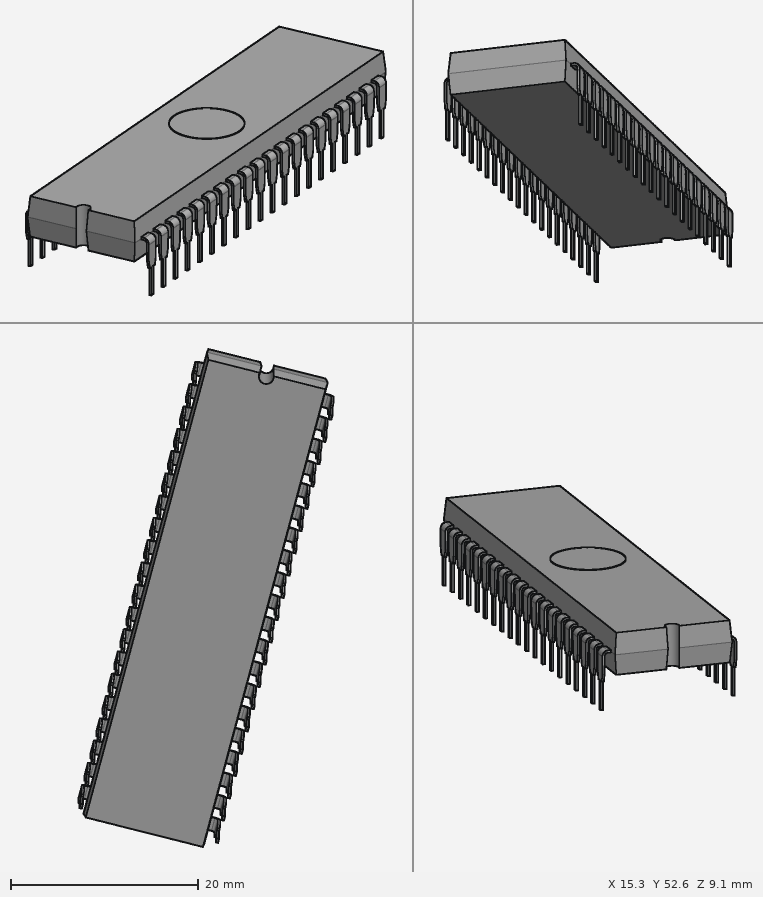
import cadquery as cq
import math

OVERALL_HEIGHT = 9.1

BODY_LENGTH = 52.6
BODY_WIDTH = 13.35
HALF_HEIGHT = 2.35
TAPER_INSET = 0.2

WINDOW_DIAMETER = 8.1
WINDOW_RISE = 0.08

NOTCH_RADIUS = 0.8
NOTCH_DEPTH = 1.25

LEADS_PER_SIDE = 20
LEAD_ROW_LENGTH = 48.25
LEAD_PITCH = LEAD_ROW_LENGTH / (LEADS_PER_SIDE - 1)
LEAD_ROW_OFFSET = -0.15
LEAD_SPAN = 15.3
LEAD_THICKNESS = 0.25
BEND_RADIUS = 0.65
TIP_Z = HALF_HEIGHT + WINDOW_RISE - OVERALL_HEIGHT
SHOULDER_WIDTH = 1.45
SHOULDER_END_Z = -2.45
NECK_WIDTH = 1.05
NECK_Z = -3.35
PIN_WIDTH = 0.5
EMBED_DEPTH = 0.5


def body_half(direction):
    """One half of the body, from the parting plane up (+1) or down (-1)."""
    taper_angle = math.degrees(math.atan(TAPER_INSET / HALF_HEIGHT))
    return (
        cq.Workplane("XY")
        .rect(BODY_WIDTH, BODY_LENGTH)
        .extrude(direction * HALF_HEIGHT, taper=taper_angle)
    )


def window():
    """Slightly raised disc on the top face."""
    return (
        cq.Workplane("XY")
        .workplane(offset=HALF_HEIGHT - WINDOW_RISE)
        .circle(WINDOW_DIAMETER / 2)
        .extrude(2 * WINDOW_RISE)
    )


def notch():
    """Vertical round cutter through the full height at the -Y end."""
    center_y = -BODY_LENGTH / 2 + NOTCH_DEPTH - NOTCH_RADIUS
    return (
        cq.Workplane("XY")
        .center(0, center_y)
        .circle(NOTCH_RADIUS)
        .extrude(HALF_HEIGHT, both=True)
    )


def lead():
    """A +X lead at y = 0: the bent strip trimmed to its stepped width."""
    outer_x = LEAD_SPAN / 2
    top_z = LEAD_THICKNESS / 2
    inner_radius = BEND_RADIUS - LEAD_THICKNESS
    root_x = BODY_WIDTH / 2 - EMBED_DEPTH
    bend_x = outer_x - BEND_RADIUS
    bend_z = top_z - BEND_RADIUS
    diagonal = math.sqrt(0.5)

    strip = (
        cq.Workplane("XZ")
        .moveTo(root_x, top_z)
        .lineTo(bend_x, top_z)
        .threePointArc(
            (bend_x + BEND_RADIUS * diagonal, bend_z + BEND_RADIUS * diagonal),
            (outer_x, bend_z),
        )
        .lineTo(outer_x, TIP_Z)
        .lineTo(outer_x - LEAD_THICKNESS, TIP_Z)
        .lineTo(outer_x - LEAD_THICKNESS, bend_z)
        .threePointArc(
            (bend_x + inner_radius * diagonal, bend_z + inner_radius * diagonal),
            (bend_x, top_z - LEAD_THICKNESS),
        )
        .lineTo(root_x, top_z - LEAD_THICKNESS)
        .close()
        .extrude(SHOULDER_WIDTH / 2, both=True)
    )
    right_edge = [
        (SHOULDER_WIDTH / 2, top_z),
        (SHOULDER_WIDTH / 2, SHOULDER_END_Z),
        (NECK_WIDTH / 2, NECK_Z),
        (PIN_WIDTH / 2, NECK_Z),
        (PIN_WIDTH / 2, TIP_Z),
    ]
    left_edge = [(-y, z) for y, z in reversed(right_edge)]
    face = cq.Workplane("YZ").polyline(right_edge + left_edge).close().extrude(outer_x)
    return strip.intersect(face)


def lead_rows():
    """All leads, in two mirrored rows along Y."""
    leads = []
    right_lead = lead()
    left_lead = right_lead.mirror("YZ")
    for index in range(LEADS_PER_SIDE):
        y = LEAD_ROW_OFFSET - LEAD_ROW_LENGTH / 2 + index * LEAD_PITCH
        for side in (right_lead, left_lead):
            leads.append(side.translate((0, y, 0)).val())
    return leads


body = body_half(1).union(body_half(-1)).union(window()).cut(notch())
result = cq.Workplane(body.val().fuse(*lead_rows()))